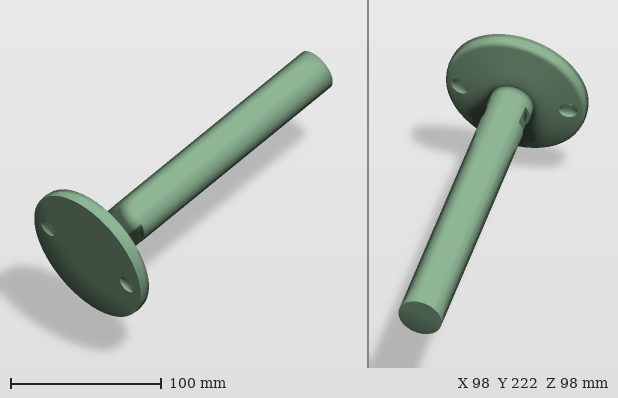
import cadquery as cq
import math

total_length = 222.0
stem_diameter = 30.0

plate_diameter = 98.0
base_diameter = 97.0
rim_seam_height = 4.0
cone_top_height = 15.3
cone_slope = 10.0
shoulder_radius = 3.0

hole_diameter = 12.5
hole_offset = 35.7
drill_length = 66.5

flat_start = 24.5
flat_length = 14.9
across_flats = 24.0

stem_radius = stem_diameter / 2
plate_radius = plate_diameter / 2
base_radius = base_diameter / 2
cone_angle = math.radians(cone_slope)

shoulder_end_radius = base_radius - shoulder_radius * (1 - math.sin(cone_angle))
shoulder_end_height = cone_top_height - (shoulder_end_radius - stem_radius) * math.tan(cone_angle)
shoulder_center = (
    base_radius - shoulder_radius,
    shoulder_end_height - shoulder_radius * math.cos(cone_angle),
)
middle_angle = (math.pi / 2 - cone_angle) / 2
shoulder_middle = (
    shoulder_center[0] + shoulder_radius * math.cos(middle_angle),
    shoulder_center[1] + shoulder_radius * math.sin(middle_angle),
)


def make_body():
    """Revolve the foot plate and stem about the Y axis, with the base at Y = 0."""
    return (
        cq.Workplane("XY")
        .lineTo(base_radius, 0)
        .lineTo(plate_radius, rim_seam_height)
        .lineTo(base_radius, shoulder_center[1])
        .threePointArc(shoulder_middle, (shoulder_end_radius, shoulder_end_height))
        .lineTo(stem_radius, cone_top_height)
        .lineTo(stem_radius, total_length)
        .lineTo(0, total_length)
        .close()
        .revolve(360, (0, 0, 0), (0, 1, 0))
    )


def make_hole_cutter(side):
    """Cylinder leaning outward toward +Y; side is -1 or 1 along X."""
    axis = cq.Vector(side * math.sin(cone_angle), math.cos(cone_angle), 0)
    start = cq.Vector(side * hole_offset, 0, 0) - axis * (drill_length / 2)
    return cq.Workplane(cq.Solid.makeCylinder(hole_diameter / 2, drill_length, start, axis))


def make_flat_cutter(side):
    """Block that removes the stem beyond one wrench flat."""
    return cq.Workplane("XY").box(stem_diameter, flat_length, stem_diameter).translate(
        (side * (across_flats + stem_diameter) / 2, flat_start + flat_length / 2, 0)
    )


result = make_body()
for side in (-1, 1):
    result = result.cut(make_hole_cutter(side)).cut(make_flat_cutter(side))